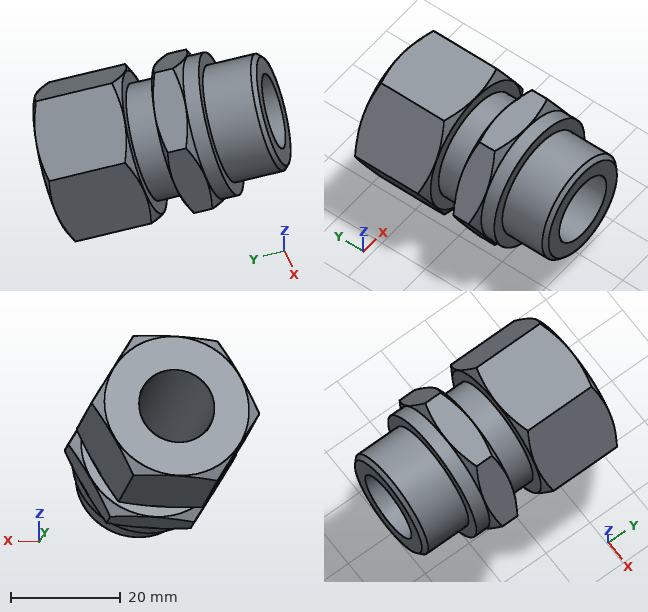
import cadquery as cq
import math

across_flats = 27.0
across_corners = across_flats / math.cos(math.radians(30))
hex_chamfer_angle = 30
chamfer_circle_diameter = 26.8

spigot_diameter = 22.0
flange_diameter = 26.8
bore_diameter = 14.0
spigot_chamfer = 0.85

total_length = 41.7
spigot_length = 10.0
flange_length = 3.0
body_hex_length = 6.0
nut_length = 17.0

flange_start = spigot_length
body_hex_start = flange_start + flange_length
neck_start = body_hex_start + body_hex_length
nut_start = total_length - nut_length
neck_length = nut_start - neck_start


def plane_at(y):
    """Plane normal to the part axis, facing +Y."""
    return cq.Plane(origin=(0, y, 0), xDir=(1, 0, 0), normal=(0, 1, 0))


def cylinder(diameter, start, length):
    return cq.Workplane(plane_at(start)).circle(diameter / 2).extrude(length)


def chamfered_hex(start, length):
    """Hexagon with corners on the X axis, turned down by a cone at both ends."""
    prism = cq.Workplane(plane_at(start)).polygon(6, across_corners).extrude(length)
    end_radius = chamfer_circle_diameter / 2
    envelope_radius = across_corners / 2 + 0.4
    cone_length = (envelope_radius - end_radius) * math.tan(math.radians(hex_chamfer_angle))
    end = start + length
    envelope = (
        cq.Workplane("XY")
        .moveTo(0, start)
        .lineTo(end_radius, start)
        .lineTo(envelope_radius, start + cone_length)
        .lineTo(envelope_radius, end - cone_length)
        .lineTo(end_radius, end)
        .lineTo(0, end)
        .close()
        .revolve(360, (0, 0, 0), (0, 1, 0))
    )
    return prism.intersect(envelope)


spigot = cylinder(spigot_diameter, 0, spigot_length).faces("<Y").chamfer(spigot_chamfer)
flange = cylinder(flange_diameter, flange_start, flange_length)
body_hex = chamfered_hex(body_hex_start, body_hex_length)
neck = cylinder(spigot_diameter, neck_start, neck_length)
nut = chamfered_hex(nut_start, nut_length)
bore = cylinder(bore_diameter, 0, total_length)

result = spigot.union(flange).union(body_hex).union(neck).union(nut).cut(bore)